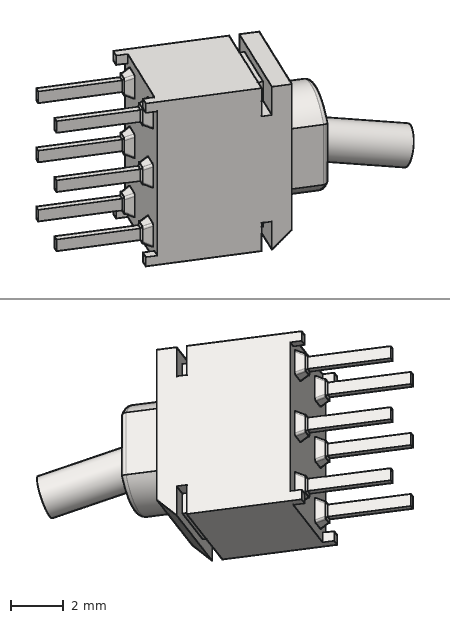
import cadquery as cq
import math

overall_length = 14.42
width = 4.5
height = 7.0
housing_depth = 5.32

foot_length = 0.46
foot_size = 0.4

groove_back = 4.12
groove_width = 0.4
groove_depth = 0.39
notch_depth = 1.21
notch_left_width = 0.74
notch_right_width = 1.21
bevel_height = 0.75

bushing_diameter = 4.3
bushing_flat_width = 3.43
bushing_length = 1.62
bushing_rounding = 0.22

lever_diameter = 1.7
lever_angle = 12.5
lever_pivot_y = 5.97

pin_pitch = 2.54
pin_length = 3.75
pin_width = 0.29
pin_height = 0.5
collar_width = 0.78
collar_height = 1.04
collar_neck_width = 0.52
collar_neck_height = 0.72
collar_length = 0.37
collar_tip_length = 0.06
collar_rounding = 0.1


def box(x, y, z, x_size, y_size, z_size):
    """Box centred on x and z, extending from y towards +Y."""
    return cq.Workplane("XY").box(x_size, y_size, z_size).translate((x, y + y_size / 2, z))


def make_housing():
    body = box(0, 0, 0, width, housing_depth, height)
    for side_x in (-1, 1):
        for side_z in (-1, 1):
            foot_x = side_x * (width - foot_size) / 2
            foot_z = side_z * (height - foot_size) / 2
            body = body.union(box(foot_x, -foot_length, foot_z, foot_size, foot_length, foot_size))
    return body


def cut_grooves(body):
    notches = (
        (-width / 2 + notch_left_width / 2, notch_left_width),
        (width / 2 - notch_right_width / 2, notch_right_width),
    )
    for side in (-1, 1):
        groove_z = side * (height - groove_depth) / 2
        body = body.cut(box(0, groove_back, groove_z, width, groove_width, groove_depth))
        notch_z = side * (height - notch_depth) / 2
        for notch_x, notch_width in notches:
            body = body.cut(box(notch_x, groove_back, notch_z, notch_width, groove_width, notch_depth))
    return body


def bevel_front_plate(body):
    """Slope the lower front edge of the plate, back to the groove."""
    bottom = -height / 2
    wedge = (
        cq.Workplane("YZ")
        .polyline([
            (groove_back + groove_width, bottom),
            (housing_depth, bottom),
            (housing_depth, bottom + bevel_height),
        ])
        .close()
        .extrude(width / 2, both=True)
    )
    return body.cut(wedge)


def make_bushing():
    """Round bushing with a flat on each side and a rounded front edge."""
    barrel = (
        cq.Workplane("XZ", origin=(0, housing_depth, 0))
        .circle(bushing_diameter / 2)
        .extrude(-bushing_length)
    )
    flats = box(0, housing_depth, 0, bushing_flat_width, bushing_length, bushing_diameter)
    return barrel.intersect(flats).faces(">Y").edges().fillet(bushing_rounding)


def make_lever():
    """Lever tilted downwards; its upper tip edge is the foremost point."""
    tilt = math.radians(lever_angle)
    tip_y = overall_length - pin_length
    axis_y = tip_y - lever_diameter / 2 * math.sin(tilt)
    lever_length = (axis_y - lever_pivot_y) / math.cos(tilt)
    axis = cq.Vector(0, math.cos(tilt), -math.sin(tilt))
    return cq.Workplane(
        cq.Solid.makeCylinder(lever_diameter / 2, lever_length, cq.Vector(0, lever_pivot_y, 0), axis)
    )


def frustum(y, base_size, length, end_size):
    """Rectangular frustum running from y towards -Y."""
    return (
        cq.Workplane("XZ", origin=(0, y, 0))
        .rect(*base_size)
        .workplane(offset=length)
        .rect(*end_size)
        .loft(ruled=True)
    )


def make_pin():
    """Flat pin with a tapered collar where it leaves the housing."""
    neck_size = (collar_neck_width, collar_neck_height)
    collar = frustum(0, (collar_width, collar_height), collar_length, neck_size)
    collar = collar.edges("not(#Y)").fillet(collar_rounding)
    tip = frustum(-collar_length, neck_size, collar_tip_length, (pin_width, pin_height))
    pin = box(0, -pin_length, 0, pin_width, pin_length, pin_height)
    return collar.union(tip).union(pin)


result = make_housing()
result = cut_grooves(result)
result = bevel_front_plate(result)
result = result.union(make_bushing()).union(make_lever())

for column in (-0.5, 0.5):
    for row in (-1, 0, 1):
        result = result.union(make_pin().translate((column * pin_pitch, 0, row * pin_pitch)))